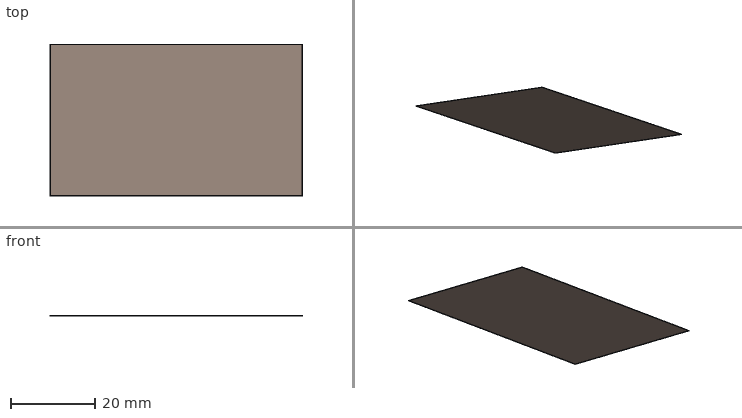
import cadquery as cq

length = 60.0
width = 36.0
thickness = 0.05

result = cq.Workplane("XY").box(length, width, thickness)